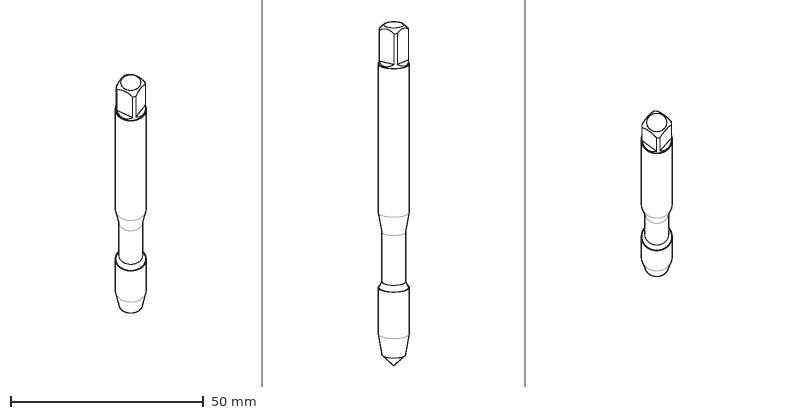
import cadquery as cq

total_length = 93.1
thread_top = 21.4
head_top = 23.0
neck_top = 36.6
shank_bottom = 41.9
shank_top = 82.4
flat_bottom = 83.5
runout_bottom = 82.5
lead_top = 8.75

body_diameter = 8.1
collar_diameter = 7.7
neck_diameter = 6.2
drive_diameter = 7.7
drive_end_diameter = 5.2

square_width = 6.05
end_chamfer_height = 1.2

body_radius = body_diameter / 2
collar_radius = collar_diameter / 2
neck_radius = neck_diameter / 2
drive_radius = drive_diameter / 2
drive_end_radius = drive_end_diameter / 2
point_height = neck_radius


def revolve_profile(points):
    """Turn a closed (radius, height) outline about the Z axis."""
    return cq.Workplane("XZ").polyline(points).close().revolve(360, (0, 0, 0), (0, 1, 0))


def drive_flat_cutter():
    """Stock beside the +X flat, with a sloping run-out at its lower end."""
    flat_offset = square_width / 2
    return (
        cq.Workplane("XZ")
        .moveTo(flat_offset, total_length)
        .lineTo(flat_offset, flat_bottom)
        .lineTo(body_radius, runout_bottom)
        .lineTo(body_radius, total_length)
        .close()
        .extrude(body_radius, both=True)
    )


def make_shank():
    """Shank with its neck and square drive."""
    shank = revolve_profile([
        (0, head_top),
        (neck_radius, head_top),
        (neck_radius, neck_top),
        (body_radius, shank_bottom),
        (body_radius, shank_top),
        (drive_radius, shank_top),
        (drive_radius, total_length - end_chamfer_height),
        (drive_end_radius, total_length),
        (0, total_length),
    ])
    for side in range(4):
        shank = shank.cut(drive_flat_cutter().rotate((0, 0, 0), (0, 0, 1), 90 * side))
    return shank


def make_cutting_head():
    """Threaded section with its upper collar cone, tapered lead and conical point."""
    return revolve_profile([
        (0, 0),
        (neck_radius, point_height),
        (body_radius, lead_top),
        (body_radius, thread_top),
        (collar_radius, thread_top),
        (neck_radius, head_top),
        (0, head_top),
    ])


shank = make_shank()
cutting_head = make_cutting_head()

result = cq.Compound.makeCompound([shank.val(), cutting_head.val()])